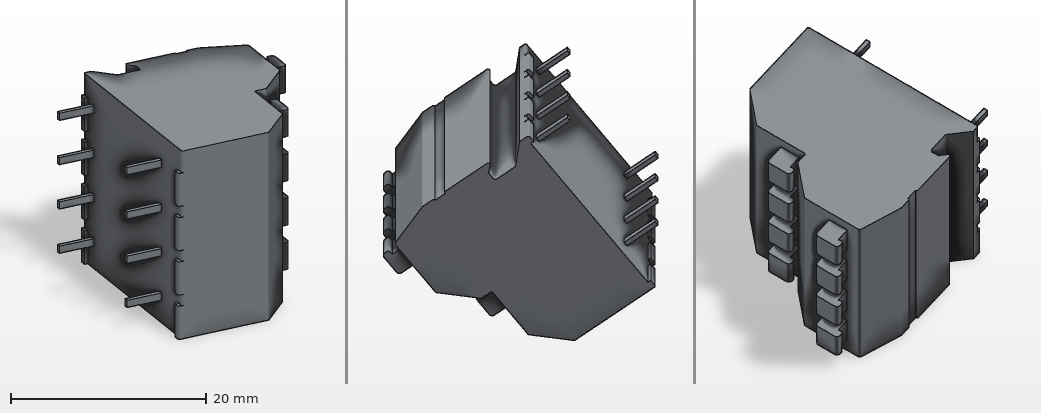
import cadquery as cq

pole_count = 4
pole_pitch = 5.0
end_plate = 1.2
housing_height = pole_count * pole_pitch + end_plate

housing_width = 21.7
upper_deck_y = 18.1
lower_deck_y = 13.43
step_x = 12.08
step_top_y = 14.77
bevel = 3.38
slant_start_y = 13.23
slant_width = 1.72

groove_depth = 0.2
groove_bottom_y = 10.54
groove_top_y = 11.8
notch_depth = 2.03
notch_start_y = 0.8
notch_tip_y = 4.5
notch_roof_y = 5.51

edge_radius = 0.2
lip_radius = 0.17
notch_radius = 0.3
deck_radius = 0.4
step_radius = 0.2

foot_width = 0.85
foot_length = 3.75
foot_height = 0.37

pin_width = 0.5
pin_thickness = 0.8
pin_length = 4.0
pin_columns = (2.0, 17.0)
pole_center = 3.0

button_width = 2.3
button_height = 2.4
button_length = 3.05
button_base = 1.9
hook_reach = 0.6
hook_thickness = 0.9
hook_top_radius = 0.45
hook_tip_radius = 0.3
button_radius = 0.4
upper_button_x = 3.3
lower_button_x = 12.9


def round_corner(solid, x, y, radius):
    """Round the edge parallel to Z that passes nearest to (x, y)."""
    z = solid.val().Center().z
    corner = cq.selectors.NearestToPointSelector((x, y, z))
    return solid.edges("|Z").edges(corner).fillet(radius)


def make_housing():
    notch_floor_y = notch_start_y + notch_depth
    bevel_top_x = step_x - (upper_deck_y - step_top_y)
    outline = [
        (0, 0),
        (housing_width, 0),
        (housing_width, lower_deck_y - bevel),
        (housing_width - bevel, lower_deck_y),
        (step_x, lower_deck_y),
        (step_x, step_top_y),
        (bevel_top_x, upper_deck_y),
        (slant_width, upper_deck_y),
        (0, slant_start_y),
        (0, groove_top_y),
        (groove_depth, groove_top_y),
        (groove_depth, groove_bottom_y),
        (0, groove_bottom_y),
        (0, notch_tip_y),
        (notch_roof_y - notch_tip_y, notch_roof_y),
        (notch_depth, notch_roof_y),
        (notch_depth, notch_floor_y),
        (0, notch_start_y),
    ]
    rounded_corners = [
        (0, 0, edge_radius),
        (housing_width, 0, edge_radius),
        (housing_width, lower_deck_y - bevel, edge_radius),
        (housing_width - bevel, lower_deck_y, edge_radius),
        (step_x, lower_deck_y, step_radius),
        (step_x, step_top_y, deck_radius),
        (bevel_top_x, upper_deck_y, deck_radius),
        (slant_width, upper_deck_y, deck_radius),
        (0, groove_top_y, lip_radius),
        (0, groove_bottom_y, lip_radius),
        (0, notch_tip_y, edge_radius),
        (notch_depth, notch_roof_y, notch_radius),
        (notch_depth, notch_floor_y, notch_radius),
        (0, slant_start_y, edge_radius),
    ]
    housing = cq.Workplane("XY").polyline(outline).close().extrude(housing_height)
    for x, y, radius in rounded_corners:
        housing = round_corner(housing, x, y, radius)
    return housing


def make_block(x, y, z, width, depth, height):
    """Box with its lowest corner at (x, y, z)."""
    return cq.Workplane("XY").box(width, depth, height, centered=False).translate((x, y, z))


def make_foot(outer_x, inner_x, base_z):
    """Foot flush with a side face, running up into the housing past its rounded corner."""
    foot = make_block(
        min(outer_x, inner_x), -foot_height, base_z, foot_width, foot_height + edge_radius, foot_length
    )
    return round_corner(foot, outer_x, -foot_height, edge_radius)


def make_pin(center_x, base_z):
    return make_block(
        center_x - pin_width / 2,
        -pin_length,
        base_z + pole_center - pin_thickness / 2,
        pin_width,
        pin_length,
        pin_thickness,
    )


def make_button(stem_x, deck_y, base_z):
    """Button rising from a deck, with a hook that overhangs toward -X at its top."""
    top_y = deck_y + button_height
    hook_y = top_y - hook_thickness
    hook_x = stem_x - hook_reach
    end_x = stem_x + button_width
    outline = [
        (stem_x, deck_y),
        (end_x, deck_y),
        (end_x, top_y),
        (hook_x, top_y),
        (hook_x, hook_y),
        (stem_x, hook_y),
    ]
    button = (
        cq.Workplane("XY")
        .workplane(offset=base_z + button_base)
        .polyline(outline)
        .close()
        .extrude(button_length)
    )
    button = round_corner(button, end_x, top_y, button_radius)
    button = round_corner(button, hook_x, top_y, hook_top_radius)
    return round_corner(button, hook_x, hook_y, hook_tip_radius)


result = make_housing()
for pole in range(pole_count):
    pole_z = pole * pole_pitch
    result = result.union(make_foot(0, foot_width, pole_z))
    result = result.union(make_foot(housing_width, housing_width - foot_width, pole_z))
    for pin_x in pin_columns:
        result = result.union(make_pin(pin_x, pole_z))
    result = result.union(make_button(upper_button_x, upper_deck_y, pole_z))
    result = result.union(make_button(lower_button_x, lower_deck_y, pole_z))